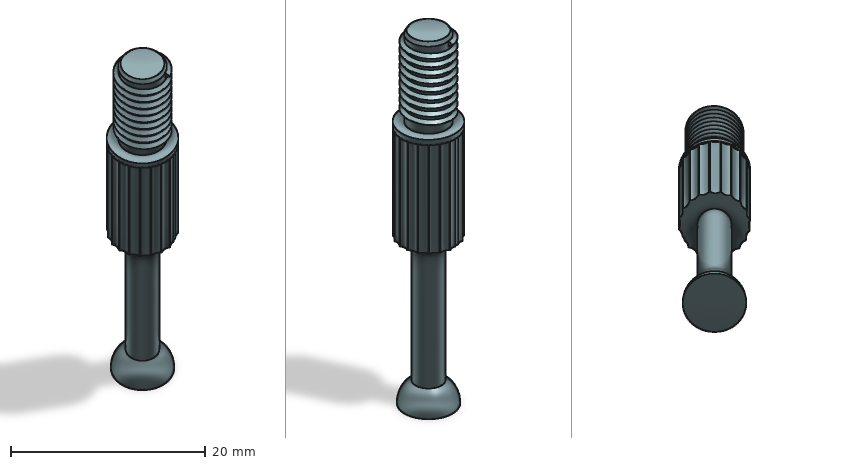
import cadquery as cq
import math

TOTAL_HEIGHT = 45.0
SLEEVE_BOTTOM = 20.25
SLEEVE_TOP = 33.35
FLANGE_TOP = 34.0

HEAD_RADIUS = 3.3
ROD_RADIUS = 1.75
FLANGE_RADIUS = 3.7
STUD_RADIUS = 2.5
STUD_TIP_RADIUS = 2.25
STUD_TIP_HEIGHT = 0.45

THREAD_CREST_RADIUS = 3.0
THREAD_PITCH = 1.0
THREAD_BASE_WIDTH = 0.7
THREAD_START_ANGLE = 135.0
THREAD_TURNS = 9 + THREAD_START_ANGLE / 360
THREAD_START_Z = 34.88
THREAD_ROOT_OVERLAP = 0.05

FLUTE_COUNT = 20
FLUTE_DEPTH = 0.2
LAND_WIDTH = 0.15


def make_turned_pin():
    """Domed head, rod, flange and chamfered stud as one revolved profile."""
    head_top = math.sqrt(HEAD_RADIUS**2 - ROD_RADIUS**2)
    dome_middle = (HEAD_RADIUS * math.cos(math.pi / 6), HEAD_RADIUS * math.sin(math.pi / 6))
    return (
        cq.Workplane("XZ")
        .lineTo(HEAD_RADIUS, 0)
        .threePointArc(dome_middle, (ROD_RADIUS, head_top))
        .lineTo(ROD_RADIUS, SLEEVE_TOP)
        .lineTo(FLANGE_RADIUS, SLEEVE_TOP)
        .lineTo(FLANGE_RADIUS, FLANGE_TOP)
        .lineTo(STUD_RADIUS, FLANGE_TOP)
        .lineTo(STUD_RADIUS, TOTAL_HEIGHT - STUD_TIP_HEIGHT)
        .lineTo(STUD_TIP_RADIUS, TOTAL_HEIGHT)
        .lineTo(0, TOTAL_HEIGHT)
        .close()
        .revolve(360, (0, 0, 0), (0, 1, 0))
    )


def make_thread_ridge():
    """Triangular ridge swept along a left-hand helix."""
    root_radius = STUD_RADIUS - THREAD_ROOT_OVERLAP
    helix = cq.Wire.makeHelix(
        THREAD_PITCH, THREAD_PITCH * THREAD_TURNS, STUD_RADIUS, lefthand=True
    )
    return (
        cq.Workplane("XZ")
        .moveTo(root_radius, -THREAD_BASE_WIDTH / 2)
        .lineTo(THREAD_CREST_RADIUS, 0)
        .lineTo(root_radius, THREAD_BASE_WIDTH / 2)
        .close()
        .sweep(cq.Workplane(helix), isFrenet=True)
        .rotate((0, 0, 0), (0, 0, 1), THREAD_START_ANGLE)
        .translate((0, 0, THREAD_START_Z))
    )


def make_sleeve():
    """Tube around the rod with shallow round flutes separated by narrow lands."""
    height = SLEEVE_TOP - SLEEVE_BOTTOM
    sleeve = (
        cq.Workplane("XY", origin=(0, 0, SLEEVE_BOTTOM))
        .circle(FLANGE_RADIUS)
        .circle(ROD_RADIUS)
        .extrude(height)
    )

    flute_angle = 2 * math.pi / FLUTE_COUNT - LAND_WIDTH / FLANGE_RADIUS
    half_chord = FLANGE_RADIUS * math.sin(flute_angle / 2)
    chord_distance = FLANGE_RADIUS * math.cos(flute_angle / 2)
    floor_distance = FLANGE_RADIUS - FLUTE_DEPTH
    rise = chord_distance - floor_distance
    flute_radius = (half_chord**2 + rise**2) / (2 * rise)
    flute = (
        cq.Workplane("XY", origin=(0, 0, SLEEVE_BOTTOM))
        .center(floor_distance + flute_radius, 0)
        .circle(flute_radius)
        .extrude(height)
    )

    step = 360 / FLUTE_COUNT
    flute_angles = [0] + [(i + 0.5) * step for i in range(FLUTE_COUNT)]
    for angle in flute_angles:
        sleeve = sleeve.cut(flute.rotate((0, 0, 0), (0, 0, 1), angle))
    return sleeve


pin = make_turned_pin().union(make_thread_ridge())
sleeve = make_sleeve()

result = cq.Compound.makeCompound([pin.val(), sleeve.val()])